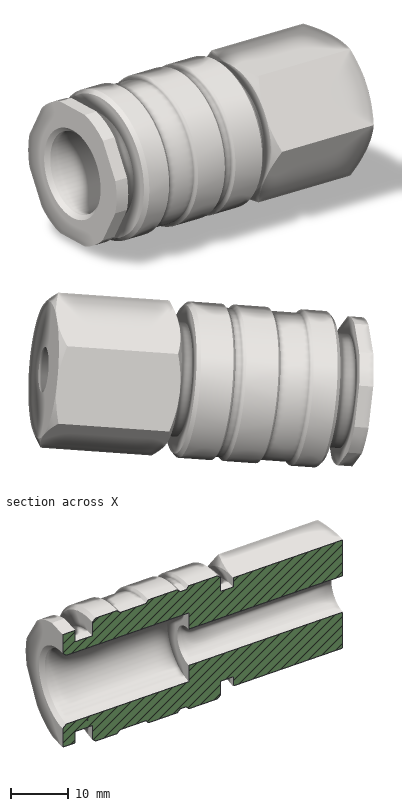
import cadquery as cq
import math

total_length = 56.0

hex_across_corners = 27.7
hex_start = 34.05
hex_chamfer_angle = 30.0

neck_diameter = 20.0
barrel_diameter = 26.05
collar_diameter = 27.3
sleeve_start = 5.95
sleeve_end = 31.65
collar_spans = [(sleeve_start, 11.55), (16.65, 23.6), (24.7, sleeve_end)]
collar_chamfer = 0.7
groove_chamfer = 0.5

flange_thickness = 2.5
flange_diameter = 26.05
flange_across_flats = 25.0

socket_diameter = 15.1
socket_mouth_diameter = 16.65
socket_depth = 25.2
passage_diameter = 7.95


def cylinder(diameter, start, end):
    """Solid cylinder on the Y axis between two Y positions."""
    return cq.Workplane("XZ", origin=(0, start, 0)).circle(diameter / 2).extrude(start - end)


def hexagon(across_corners, start, end):
    """Hexagonal prism on the Y axis with corners on the X axis."""
    return cq.Workplane("XZ", origin=(0, start, 0)).polygon(6, across_corners).extrude(start - end)


def revolve_profile(points):
    """Revolve a closed (radius, Y) outline around the Y axis."""
    return cq.Workplane("XY").polyline(points).close().revolve(360, (0, 0, 0), (0, 1, 0))


def collar(start, end):
    """Collar with both rims chamfered."""
    outer_radius = collar_diameter / 2
    face_radius = outer_radius - collar_chamfer
    front_chamfer = collar_chamfer if start == sleeve_start else groove_chamfer
    return revolve_profile([
        (0, start),
        (face_radius, start),
        (outer_radius, start + front_chamfer),
        (outer_radius, end - collar_chamfer),
        (face_radius, end),
        (0, end),
    ])


def chamfered_hexagon():
    """Hexagon whose corners are turned down by a cone at each end."""
    corner_radius = hex_across_corners / 2
    face_radius = corner_radius * math.cos(math.pi / 6)
    cone_length = (corner_radius - face_radius) * math.tan(math.radians(hex_chamfer_angle))
    envelope = revolve_profile([
        (0, hex_start),
        (face_radius, hex_start),
        (corner_radius, hex_start + cone_length),
        (corner_radius, total_length - cone_length),
        (face_radius, total_length),
        (0, total_length),
    ])
    return hexagon(hex_across_corners, hex_start, total_length).intersect(envelope)


def flange():
    """Disc at the mating end, trimmed by a hexagon."""
    across_corners = flange_across_flats / math.cos(math.pi / 6)
    disc = cylinder(flange_diameter, 0, flange_thickness)
    return disc.intersect(hexagon(across_corners, 0, flange_thickness))


def socket():
    """Socket bore with a 45 degree lead-in at its mouth."""
    socket_radius = socket_diameter / 2
    mouth_radius = socket_mouth_diameter / 2
    return revolve_profile([
        (0, 0),
        (mouth_radius, 0),
        (socket_radius, mouth_radius - socket_radius),
        (socket_radius, socket_depth),
        (0, socket_depth),
    ])


result = cylinder(neck_diameter, 0, hex_start)
result = result.union(cylinder(barrel_diameter, collar_spans[0][1], collar_spans[-1][0]))
for collar_start, collar_end in collar_spans:
    result = result.union(collar(collar_start, collar_end))
result = result.union(flange()).union(chamfered_hexagon())

result = result.cut(socket()).cut(cylinder(passage_diameter, 0, total_length))